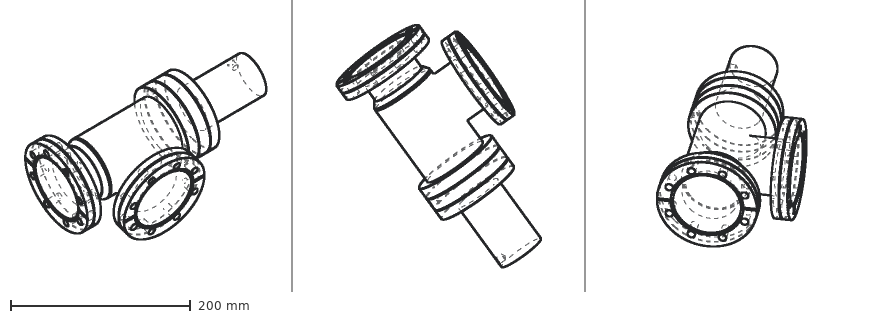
import cadquery as cq
import math

TOTAL_LENGTH = 274.5
FLANGE_THICKNESS = 19.2
NECK_END = 39.3
SHOULDER = 45.9
BODY_STEP = 48.3
COLLAR_START = 148.0
COLLAR_JOINTS = (162.5, 178.5)
COLLAR_END = 191.5

FLANGE_RADIUS = 56.8
NECK_RADIUS = 31.9
CONE_SMALL_RADIUS = 33.2
SHOULDER_RADIUS = 38.0
BODY_RADIUS = 38.2
COLLAR_RADIUS = 50.0
ACTUATOR_RADIUS = 27.2

BRANCH_Y = 85.7
BRANCH_REACH = 85.7

BRANCH_FILLET = 2.2
SELECT_MARGIN = 0.3
FLANGE_CHAMFER = 0.3
COLLAR_CHAMFER = 0.5
JOINT_DEPTH = 0.5
JOINT_WIDTH = 1.5
FLANGE_JOINT = 9.5

RECESS_RADIUS = 41.2
KNIFE_RADIUS = 38.5
RECESS_DEPTH = 2.0
KNIFE_DEPTH = 0.8
SLOT_WIDTH = 2.5
SLOT_DEPTH = 0.5
BOLT_COUNT = 8
BOLT_CIRCLE_RADIUS = 46.0
BOLT_HOLE_DIAMETER = 8.5

PORT_DIAMETER = 7.7
PORT_DEPTH = 8.2
PORT_CHAMFER = 0.8
DRILL_POINT_ANGLE = 118
ACTUATOR_PORT_Y = 267.0
COLLAR_PORT_Y = (COLLAR_JOINTS[0] + COLLAR_JOINTS[1]) / 2


def revolve_along_y(outline):
    """Revolve (radius, y) points about the Y axis."""
    return outline.close().revolve(360, (0, 0, 0), (0, 1, 0))


def joint_groove(radius, y):
    """V-shaped ring to cut where two stacked discs meet."""
    outline = (
        cq.Workplane("XY")
        .moveTo(radius - JOINT_DEPTH, y)
        .lineTo(radius, y - JOINT_WIDTH / 2)
        .lineTo(radius, y + JOINT_WIDTH / 2)
    )
    return revolve_along_y(outline)


def cylinder(radius, start, end):
    """Cylinder on the Y axis between two Y positions."""
    return cq.Workplane("XZ", origin=(0, start, 0)).circle(radius).extrude(start - end)


def make_flange():
    """Double flange on the Y axis with its sealing face at Y = 0."""
    flange = cylinder(FLANGE_RADIUS, 0, FLANGE_THICKNESS).edges().chamfer(FLANGE_CHAMFER)
    flange = flange.cut(joint_groove(FLANGE_RADIUS, FLANGE_JOINT))

    recess = (
        cq.Workplane("XY")
        .lineTo(RECESS_RADIUS, 0)
        .lineTo(RECESS_RADIUS, RECESS_DEPTH)
        .lineTo(KNIFE_RADIUS, KNIFE_DEPTH)
        .lineTo(0, KNIFE_DEPTH)
    )
    flange = flange.cut(revolve_along_y(recess))

    slots = (
        cq.Workplane("YZ", origin=(-FLANGE_RADIUS, 0, 0))
        .moveTo(0, -SLOT_WIDTH / 2)
        .threePointArc((SLOT_DEPTH, 0), (0, SLOT_WIDTH / 2))
        .close()
        .extrude(2 * FLANGE_RADIUS)
    )
    flange = flange.cut(slots.cut(cylinder(RECESS_RADIUS, 0, SLOT_DEPTH)))

    bolt_holes = (
        cq.Workplane("XZ")
        .polarArray(BOLT_CIRCLE_RADIUS, 180 / BOLT_COUNT, 360, BOLT_COUNT)
        .circle(BOLT_HOLE_DIAMETER / 2)
        .extrude(-FLANGE_THICKNESS)
    )
    return flange.cut(bolt_holes)


def make_body():
    """Neck, cone and main tube, with the branch tube blended in."""
    outline = (
        cq.Workplane("XY")
        .moveTo(0, FLANGE_THICKNESS)
        .lineTo(NECK_RADIUS, FLANGE_THICKNESS)
        .lineTo(NECK_RADIUS, NECK_END)
        .lineTo(CONE_SMALL_RADIUS, NECK_END)
        .lineTo(SHOULDER_RADIUS, SHOULDER)
        .lineTo(SHOULDER_RADIUS, BODY_STEP)
        .lineTo(BODY_RADIUS, BODY_STEP)
        .lineTo(BODY_RADIUS, COLLAR_START)
        .lineTo(0, COLLAR_START)
    )
    tube = revolve_along_y(outline)
    branch = (
        cq.Workplane("YZ", origin=(0, BRANCH_Y, 0))
        .circle(NECK_RADIUS)
        .extrude(BRANCH_REACH - FLANGE_THICKNESS)
    )
    blend_edges = cq.selectors.BoxSelector(
        (0, BRANCH_Y - SELECT_MARGIN, -BODY_RADIUS),
        (BODY_RADIUS - SELECT_MARGIN, BRANCH_Y + SELECT_MARGIN, BODY_RADIUS),
    )
    return tube.union(branch).edges(blend_edges).fillet(BRANCH_FILLET)


def port(radius, y):
    """Chamfered blind hole with a drill-point bottom, entering from -X at the given Y."""
    hole_radius = PORT_DIAMETER / 2
    point_length = hole_radius / math.tan(math.radians(DRILL_POINT_ANGLE / 2))
    outline = (
        cq.Workplane("XY")
        .lineTo(0, hole_radius + PORT_CHAMFER)
        .lineTo(PORT_CHAMFER, hole_radius)
        .lineTo(PORT_DEPTH, hole_radius)
        .lineTo(PORT_DEPTH + point_length, 0)
        .close()
    )
    return outline.revolve(360, (0, 0, 0), (1, 0, 0)).translate((-radius, y, 0))


def make_collar():
    """Stack of three discs around the top of the main tube."""
    collar = cylinder(COLLAR_RADIUS, COLLAR_START, COLLAR_END).edges().chamfer(COLLAR_CHAMFER)
    for joint_y in COLLAR_JOINTS:
        collar = collar.cut(joint_groove(COLLAR_RADIUS, joint_y))
    return collar


end_flange = make_flange()
branch_flange = end_flange.rotate((0, 0, 0), (0, 0, 1), 90).translate((BRANCH_REACH, BRANCH_Y, 0))
actuator = cylinder(ACTUATOR_RADIUS, COLLAR_END, TOTAL_LENGTH)

result = make_body()
for piece in (end_flange, branch_flange, make_collar(), actuator):
    result = result.union(piece)
result = result.cut(port(ACTUATOR_RADIUS, ACTUATOR_PORT_Y))
result = result.cut(port(COLLAR_RADIUS, COLLAR_PORT_Y))